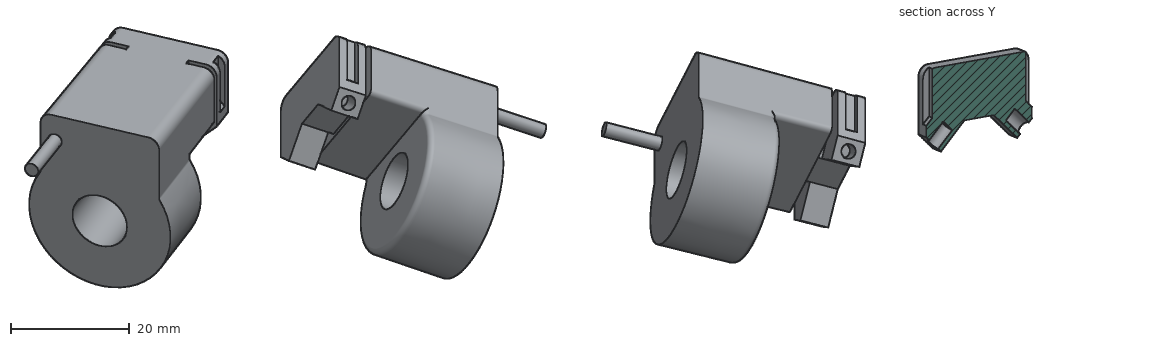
import cadquery as cq
import math

overall_width = 25.95
ring_radius = overall_width / 2
bore_radius = 5.0
ring_length = 14.0
draft = 0.5
edge_round = 0.95
blend_radius = 0.8

overall_height = 31.95
top_z = overall_height - ring_radius
half_width = 10.9
corner_radius = 2.0
block_length = 24.0
block_bottom = 7.45

neck_length = 1.0
clip_start = block_length + neck_length
total_length = 30.0
neck_width = 11.0
neck_half_width = neck_width / 2
underside_z = 8.5

hook_tip_z = 3.75
hook_height = 2.95
clip_half_width = half_width - total_length * math.tan(math.radians(draft))
hook_tip_x = clip_half_width - hook_height
slope_end_x = hook_tip_x - (underside_z - hook_tip_z)
hook_hole_diameter = 2.5
hook_hole_depth = 4.0

slot_depth = 1.2
slot_bottom = 8.8
slot_width = 2.05
slot_center_y = (clip_start + total_length) / 2

pin_radius = 1.25
pin_length = 10.0
pin_x = -8.2
pin_z = 14.0


def column(bottom, length):
    """Drafted bar with rounded top corners, running back from the front face."""
    height = top_z - bottom
    return (
        cq.Workplane("XZ", origin=(0, 0, bottom + height / 2))
        .rect(2 * half_width, height)
        .extrude(-length, taper=draft)
        .edges("not(#Y)")
        .edges(">Z")
        .fillet(corner_radius)
    )


def prism(points, start, end):
    """Extrude an XZ outline from Y = start to Y = end."""
    return cq.Workplane("XZ", origin=(0, start, 0)).polyline(points).close().extrude(start - end)


def mirrored(right_points):
    """Close a right-hand outline, listed from top to bottom, with its mirror image."""
    return right_points + [(-x, z) for x, z in reversed(right_points)]


def make_ring_end():
    ring = cq.Workplane("XZ").circle(ring_radius).extrude(-ring_length, taper=draft)
    ring_end = ring.union(column(0, ring_length))
    valley_z = math.sqrt(ring_radius**2 - half_width**2)
    for side in (-1, 1):
        valley = cq.selectors.BoxSelector(
            (side * half_width - blend_radius, 0, valley_z - blend_radius),
            (side * half_width + blend_radius, ring_length, valley_z + blend_radius),
        )
        ring_end = ring_end.edges(valley).fillet(blend_radius)
    return ring_end.faces(">Y").edges().fillet(edge_round)


def make_block():
    block = column(block_bottom, block_length)
    return block.edges("not(#Y)").edges("<Z").fillet(edge_round)


def make_neck():
    drop = neck_half_width - slope_end_x
    outline = mirrored([
        (neck_half_width, top_z),
        (neck_half_width, underside_z + drop),
        (slope_end_x, underside_z),
    ])
    return column(0, total_length).intersect(prism(outline, block_length, clip_start))


def make_clip():
    outline = mirrored([
        (half_width, top_z),
        (half_width, hook_tip_z + half_width - hook_tip_x),
        (hook_tip_x, hook_tip_z),
        (slope_end_x, underside_z),
    ])
    return column(0, total_length).intersect(prism(outline, clip_start, total_length))


def cut_side_features(body, side):
    """Cut the slot and the angled hook hole on one side (side is -1 or 1)."""
    inner_x = clip_half_width - slot_depth
    outer_x = clip_half_width + slot_depth
    outline = [
        (side * inner_x, top_z),
        (side * inner_x, slot_bottom + slot_depth),
        (side * outer_x, slot_bottom - slot_depth),
        (side * outer_x, top_z),
    ]
    slot = prism(outline, slot_center_y - slot_width / 2, slot_center_y + slot_width / 2)
    hole_start = cq.Vector(
        side * (clip_half_width - hook_height / 2), slot_center_y, hook_tip_z + hook_height / 2
    )
    hole = cq.Solid.makeCylinder(
        hook_hole_diameter / 2, hook_hole_depth, hole_start, cq.Vector(-side, 0, 1)
    )
    return body.cut(slot).cut(cq.Workplane(hole))


bore = cq.Workplane("XZ").circle(bore_radius).extrude(-ring_length)
pin = cq.Workplane("XZ").center(pin_x, pin_z).circle(pin_radius).extrude(pin_length)

result = make_ring_end().union(make_block()).union(make_neck()).union(make_clip())
for side in (-1, 1):
    result = cut_side_features(result, side)
result = result.cut(bore).union(pin)